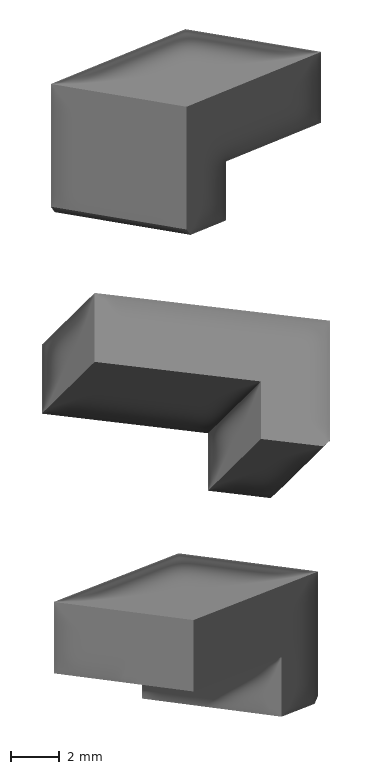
import cadquery as cq

width = 6.6
length = 10.2
height = 5.5

plate_thickness = 3.0
leg_thickness = 3.0
chamfer_size = 0.3

front = -length / 2
back = length / 2
bottom = -height / 2
top = height / 2
leg_back = front + leg_thickness
plate_underside = top - plate_thickness

profile = [
    (front, top),
    (back, top),
    (back, plate_underside),
    (leg_back, plate_underside),
    (leg_back, bottom),
    (front + chamfer_size, bottom),
    (front, bottom + chamfer_size),
]

result = cq.Workplane("YZ").polyline(profile).close().extrude(width / 2, both=True)